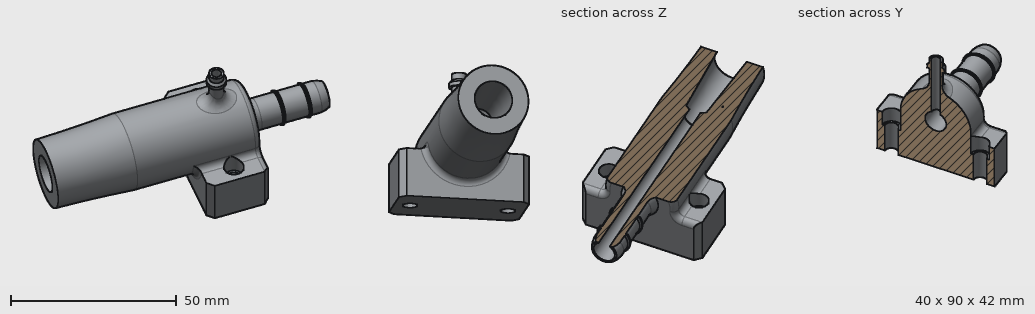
import cadquery as cq
import math

axis_height = 18.0
barrel_radius = 24.0 / 2
barrel_length = 40.0
edge_radius = 2.0

taper_length = 25.0
taper_tip_radius = 21.6 / 2
taper_hollow = 0.2
tip_y = -barrel_length - taper_length

block_width = 40.0
block_depth = 20.0
block_height = 15.0
corner_chamfer = 2.0
screw_x = 15.0
screw_diameter = 4.5
screw_head_diameter = 6.0
screw_head_depth = 5.0

hose_length = 25.0
hose_radius = 10.0 / 2
hose_tip_radius = 8.3 / 2
hose_tip_length = 3.0
hose_tip_bulge = 0.2
hose_ring_radius = 11.0 / 2
hose_ring_ramp = 0.5
hose_ring_land = 0.45
hose_ring_starts = (14.5, 6.0)
hose_root_length = 2.8
hose_root_radius = 4.0

port_y = -block_depth / 2
port_top = 42.0
port_radius = 4.5 / 2
port_collar_radius = 6.0 / 2
port_end_length = 2.0
port_collar_ramp = 0.9
port_collar_land = 1.3
port_root_fillet = 4.0

hose_bore_radius = 7.0 / 2
socket_mouth_radius = 11.5 / 2
socket_end_radius = 9.0 / 2
port_bore_diameter = 3.0


def revolve_about_barrel(profile):
    """Revolve a closed (radius, y) profile about the barrel axis."""
    solid = profile.close().revolve(360, (0, 0, 0), (0, 1, 0))
    return solid.translate((0, 0, axis_height))


def make_block():
    block = cq.Workplane("XY").box(block_width, block_depth, block_height, centered=(True, True, False))
    block = block.edges("|Z").chamfer(corner_chamfer)
    return block.translate((0, -block_depth / 2, 0))


def make_barrel():
    return revolve_about_barrel(
        cq.Workplane("XY")
        .moveTo(0, 0)
        .lineTo(barrel_radius, 0)
        .lineTo(barrel_radius, -barrel_length)
        .lineTo(0, -barrel_length)
    )


def make_body():
    """Barrel on its block, with blended joints and a rounded rear edge."""
    body = make_barrel().union(make_block())
    half_width = barrel_radius + edge_radius
    joint_zone = cq.selectors.BoxSelector(
        (-half_width, -block_depth - 0.1, 0.1), (half_width, -0.1, block_height + 0.1)
    )
    body = body.edges(joint_zone).fillet(edge_radius)
    rear_rim = cq.selectors.BoxSelector(
        (-block_width, -0.1, block_height - 0.1), (block_width, 0.1, axis_height + barrel_radius)
    )
    return body.faces(">Y").edges(rear_rim).fillet(edge_radius)


def make_taper():
    middle_radius = (barrel_radius + taper_tip_radius) / 2 - taper_hollow
    return revolve_about_barrel(
        cq.Workplane("XY")
        .moveTo(0, -barrel_length)
        .lineTo(barrel_radius, -barrel_length)
        .threePointArc((middle_radius, -barrel_length - taper_length / 2), (taper_tip_radius, tip_y))
        .lineTo(0, tip_y)
    )


def make_hose_barb():
    def root_flare(y):
        rise = hose_root_length - y
        return hose_radius + hose_root_radius - math.sqrt(hose_root_radius**2 - rise**2)

    profile = (
        cq.Workplane("XY")
        .moveTo(0, 0)
        .lineTo(root_flare(0), 0)
        .threePointArc(
            (root_flare(hose_root_length / 2), hose_root_length / 2), (hose_radius, hose_root_length)
        )
    )
    for start in hose_ring_starts:
        ring_top = hose_length - start
        land_top = ring_top - hose_ring_ramp
        land_bottom = land_top - hose_ring_land
        profile = (
            profile.lineTo(hose_radius, land_bottom)
            .lineTo(hose_ring_radius, land_bottom)
            .lineTo(hose_ring_radius, land_top)
            .lineTo(hose_radius, ring_top)
        )
    profile = (
        profile.lineTo(hose_radius, hose_length - hose_tip_length)
        .threePointArc(
            ((hose_radius + hose_tip_radius) / 2 + hose_tip_bulge, hose_length - hose_tip_length / 2),
            (hose_tip_radius, hose_length),
        )
        .lineTo(0, hose_length)
    )
    return revolve_about_barrel(profile)


def add_port(body):
    """Add the port tube, blend its root into the barrel, then add its collar."""
    tube = (
        cq.Workplane("XY", origin=(0, port_y, axis_height))
        .circle(port_radius)
        .extrude(port_top - axis_height)
    )
    barrel_top = axis_height + barrel_radius
    root_zone = cq.selectors.BoxSelector(
        (-port_radius, port_y - port_radius, barrel_top - 0.9),
        (port_radius, port_y + port_radius, barrel_top + 0.1),
    )
    body = body.union(tube).edges(root_zone).fillet(port_root_fillet)

    ramp_top = port_top - port_end_length
    land_top = ramp_top - port_collar_ramp
    land_bottom = land_top - port_collar_land
    collar = (
        cq.Workplane("XZ")
        .moveTo(0, land_bottom)
        .lineTo(port_collar_radius, land_bottom)
        .lineTo(port_collar_radius, land_top)
        .lineTo(port_radius, ramp_top)
        .lineTo(0, ramp_top)
        .close()
        .revolve(360, (0, 0, 0), (0, 1, 0))
        .translate((0, port_y, 0))
    )
    return body.union(collar)


def make_main_bore():
    """Tapered socket, 45 degree step, then a straight bore out through the hose barb."""
    step_end_y = -barrel_length + socket_end_radius - hose_bore_radius
    return revolve_about_barrel(
        cq.Workplane("XY")
        .moveTo(0, tip_y)
        .lineTo(socket_mouth_radius, tip_y)
        .lineTo(socket_end_radius, -barrel_length)
        .lineTo(hose_bore_radius, step_end_y)
        .lineTo(hose_bore_radius, hose_length)
        .lineTo(0, hose_length)
    )


def make_port_bore():
    return (
        cq.Workplane("XY", origin=(0, port_y, axis_height))
        .circle(port_bore_diameter / 2)
        .extrude(port_top - axis_height)
    )


def make_screw_holes():
    """Through holes with head recesses that also clear the blend beside the barrel."""
    centers = [(-screw_x, port_y), (screw_x, port_y)]
    shanks = cq.Workplane("XY").pushPoints(centers).circle(screw_diameter / 2).extrude(block_height)
    heads = (
        cq.Workplane("XY", origin=(0, 0, block_height - screw_head_depth))
        .pushPoints(centers)
        .circle(screw_head_diameter / 2)
        .extrude(screw_head_depth + edge_radius)
    )
    return shanks.union(heads)


part = add_port(make_body()).union(make_taper()).union(make_hose_barb())
result = part.cut(make_main_bore()).cut(make_port_bore()).cut(make_screw_holes())